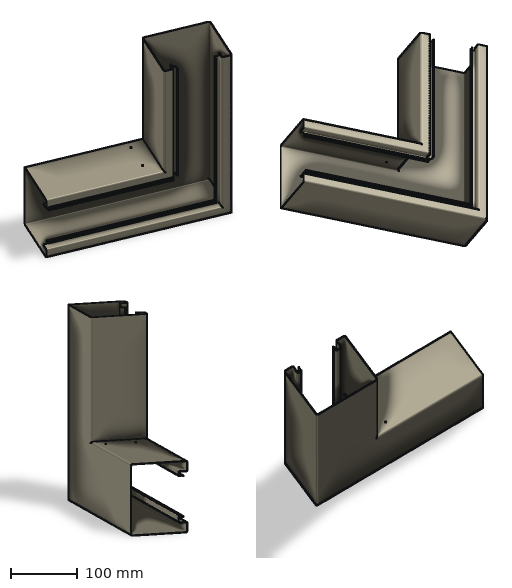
import cadquery as cq
import math

TRUNKING_DEPTH = 90.0
TRUNKING_WIDTH = 110.0
LEG_LENGTH = 299.85
SHEET = 1.2

FLANGE_OFFSET = 16.7
SHELF_CREASE_INSET = 4.6
SHELF_END_OFFSET = 16.0
RAIL_INSET = 13.2
RAIL_OFFSET = 24.5
GROOVE_INSET = 7.3
GROOVE_OFFSET = 23.7
LIP_END_INSET = 4.5
LIP_END_OFFSET = 24.7

WALL_BEND = 2.0
FLANGE_BEND = 1.3
RAIL_BEND = 0.7
SHARP = 0.0

RAIL_SETBACK = 5.0
NOTCH_OFFSET = 17.2

HOLE_DIAMETER = 2.0
HOLE_SPACING = 47.5
HOLE_FIRST_X = 15.5
HOLE_FROM_INNER_CORNER = 24.0


def sheet_path():
    """Centre line of the folded sheet as (x, y, inside bend radius), from lip to lip."""
    half = SHEET / 2
    half_path = [
        (LIP_END_INSET, LIP_END_OFFSET - half, SHARP),
        (GROOVE_INSET, GROOVE_OFFSET - half, SHARP),
        (RAIL_INSET - half, RAIL_OFFSET - half, RAIL_BEND),
        (RAIL_INSET - half, SHELF_END_OFFSET - half, RAIL_BEND),
        (SHELF_CREASE_INSET, FLANGE_OFFSET - half, SHARP),
        (half, FLANGE_OFFSET - half, FLANGE_BEND),
        (half, half, WALL_BEND),
        (TRUNKING_DEPTH - half, half, WALL_BEND),
    ]
    front = [(TRUNKING_DEPTH - i, o - TRUNKING_WIDTH, r) for i, o, r in half_path]
    back = [(TRUNKING_DEPTH - i, -o, r) for i, o, r in reversed(half_path)]
    return front + back


def direction(start, end):
    """Unit vector from one point towards another."""
    length = math.dist(start[:2], end[:2])
    return (end[0] - start[0]) / length, (end[1] - start[1]) / length


def sheet_side(path, side):
    """Corners of one sheet surface, half a sheet to the left (+1) or right (-1) of the path."""
    shift = side * SHEET / 2
    runs = [direction(start, end) for start, end in zip(path, path[1:])]
    corners = []
    for index, (x, y, bend) in enumerate(path):
        before = runs[max(index - 1, 0)]
        after = runs[min(index, len(runs) - 1)]
        turn = before[0] * after[1] - before[1] * after[0]
        spread = shift / (1 + before[0] * after[0] + before[1] * after[1])
        corner_x = x - spread * (before[1] + after[1])
        corner_y = y + spread * (before[0] + after[0])
        is_outside = turn * side < 0
        radius = bend + SHEET if is_outside and bend else bend
        corners.append((corner_x, corner_y, radius))
    return corners


def rounded_outline(corners):
    """Closed outline through the corners, each with a radius rounded by a tangent arc."""
    outline = cq.Workplane("XY").moveTo(*corners[0][:2])
    for index in range(1, len(corners)):
        x, y, radius = corners[index]
        if not radius:
            outline = outline.lineTo(x, y)
            continue
        back_x, back_y = direction(corners[index], corners[index - 1])
        on_x, on_y = direction(corners[index], corners[index + 1])
        half_angle = math.acos(back_x * on_x + back_y * on_y) / 2
        tangent = radius / math.tan(half_angle)
        bulge = radius / math.sin(half_angle) - radius
        middle_x, middle_y = direction((0, 0), (back_x + on_x, back_y + on_y))
        outline = outline.lineTo(x + tangent * back_x, y + tangent * back_y).threePointArc(
            (x + bulge * middle_x, y + bulge * middle_y),
            (x + tangent * on_x, y + tangent * on_y),
        )
    return outline.close()


def rail_notch(start_offset, end_offset, bottom, top):
    """Block that removes the rail between two offsets from the inner side wall."""
    return (
        cq.Workplane("XY", origin=(0, 0, bottom))
        .center(TRUNKING_DEPTH - RAIL_INSET / 2, (start_offset + end_offset) / 2 - TRUNKING_WIDTH)
        .rect(RAIL_INSET, end_offset - start_offset)
        .extrude(top - bottom)
    )


def vertical_leg():
    """Upright trunking, mitred at the foot, its rails cut back at the top and the inner corner."""
    path = sheet_path()
    corners = sheet_side(path, 1) + sheet_side(path, -1)[::-1]
    leg = rounded_outline(corners).extrude(LEG_LENGTH)

    top_notch = rail_notch(NOTCH_OFFSET, TRUNKING_WIDTH - NOTCH_OFFSET, LEG_LENGTH - RAIL_SETBACK, LEG_LENGTH)
    inner_corner_notch = rail_notch(
        NOTCH_OFFSET,
        TRUNKING_WIDTH / 2,
        TRUNKING_WIDTH / 2,
        TRUNKING_WIDTH - NOTCH_OFFSET,
    )

    below_mitre = (
        cq.Workplane("YZ")
        .polyline([(0, 0), (-TRUNKING_WIDTH, TRUNKING_WIDTH), (-TRUNKING_WIDTH, 0)])
        .close()
        .extrude(TRUNKING_DEPTH)
    )
    return leg.cut(top_notch).cut(inner_corner_notch).cut(below_mitre)


def wall_holes():
    """Cutters for the two holes through the top wall of the horizontal leg."""
    hole_y = -TRUNKING_WIDTH - HOLE_FROM_INNER_CORNER
    return (
        cq.Workplane("XY", origin=(0, 0, TRUNKING_WIDTH))
        .pushPoints([(HOLE_FIRST_X, hole_y), (HOLE_FIRST_X + HOLE_SPACING, hole_y)])
        .circle(HOLE_DIAMETER / 2)
        .extrude(-2 * SHEET)
    )


upright = vertical_leg()
horizontal = upright.mirror(cq.Vector(0, 1, 1)).cut(wall_holes())

result = upright.union(horizontal, clean=False)